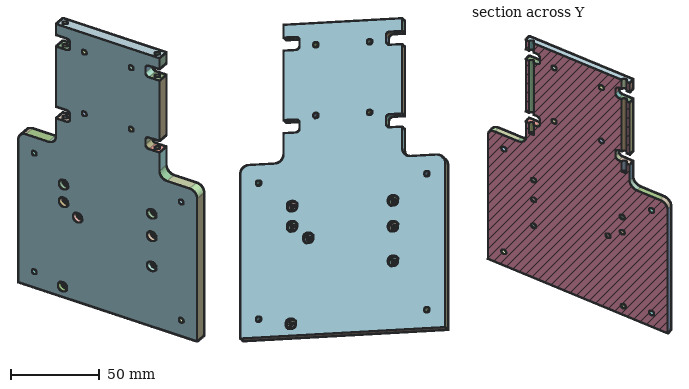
import cadquery as cq

thickness = 7.5
height = 180.0
base_width = 118.8
base_height = 100.0
neck_width = 68.8
corner_radius = 5.0

slot_width = thickness
slot_depth = 9.4
slot_corner_radius = 2.3
slot_tops = [height - 7.4, height - 55.0]

screw_diameter = 3.0
neck_hole_spacing = 31.1
neck_hole_heights = [height - 12.6, height - 53.5]
base_hole_spacing = 97.5
base_hole_heights = [10.6, 89.3]

counterbore_diameter = 6.1
counterbore_depth = 3.6
left_column = -29.3
right_column = 29.2
counterbore_centres = [
    (left_column, 74.9),
    (left_column, 63.2),
    (-20.0, 56.0),
    (-30.0, 6.8),
    (right_column, 74.9),
    (right_column, 60.0),
    (right_column, 40.0),
]

edge_hole_spacing = 61.2
edge_hole_diameter = 3.0
edge_hole_reach = 7.5
edge_hole_bottom = min(slot_tops) - slot_width - edge_hole_reach


def pins(diameter, depth, centres):
    """Cylinders running back from the front face at the given (X, Z) centres."""
    return cq.Workplane("XZ").pushPoints(centres).circle(diameter / 2).extrude(-depth)


def mirrored_pair(spacing, position):
    """Two points at equal distance either side of X = 0."""
    return [(-spacing / 2, position), (spacing / 2, position)]


def plate_blank():
    """Wide base with a narrow neck; shoulders and inner corners are rounded."""
    half_base = base_width / 2
    half_neck = neck_width / 2
    outline = [
        (-half_base, 0),
        (half_base, 0),
        (half_base, base_height),
        (half_neck, base_height),
        (half_neck, height),
        (-half_neck, height),
        (-half_neck, base_height),
        (-half_base, base_height),
    ]
    blank = cq.Workplane("XZ").polyline(outline).close().extrude(-thickness)
    shoulder_edges = cq.selectors.BoxSelector(
        (-base_width, 0, base_height - corner_radius),
        (base_width, thickness, base_height + corner_radius),
    )
    return blank.edges("|Y").edges(shoulder_edges).fillet(corner_radius)


def slot(side, top):
    """Slot open to one side of the neck, with its two inner corners rounded."""
    cutter = cq.Workplane("XY").box(2 * slot_depth, thickness, slot_width, centered=(True, False, False))
    cutter = cutter.translate((side * neck_width / 2, 0, top - slot_width))
    inner_face = "<X" if side > 0 else ">X"
    return cutter.faces(inner_face).edges("|Y").fillet(slot_corner_radius)


def edge_holes():
    """Pair of vertical drillings at mid-thickness, one near each side of the neck."""
    return (
        cq.Workplane("XY", origin=(0, 0, edge_hole_bottom))
        .pushPoints(mirrored_pair(edge_hole_spacing, thickness / 2))
        .circle(edge_hole_diameter / 2)
        .extrude(height - edge_hole_bottom)
    )


result = plate_blank()

for slot_top in slot_tops:
    for side in (-1, 1):
        result = result.cut(slot(side, slot_top))

screw_centres = []
for z in neck_hole_heights:
    screw_centres += mirrored_pair(neck_hole_spacing, z)
for z in base_hole_heights:
    screw_centres += mirrored_pair(base_hole_spacing, z)
result = result.cut(pins(screw_diameter, thickness, screw_centres + counterbore_centres))
result = result.cut(pins(counterbore_diameter, counterbore_depth, counterbore_centres))
result = result.cut(edge_holes())